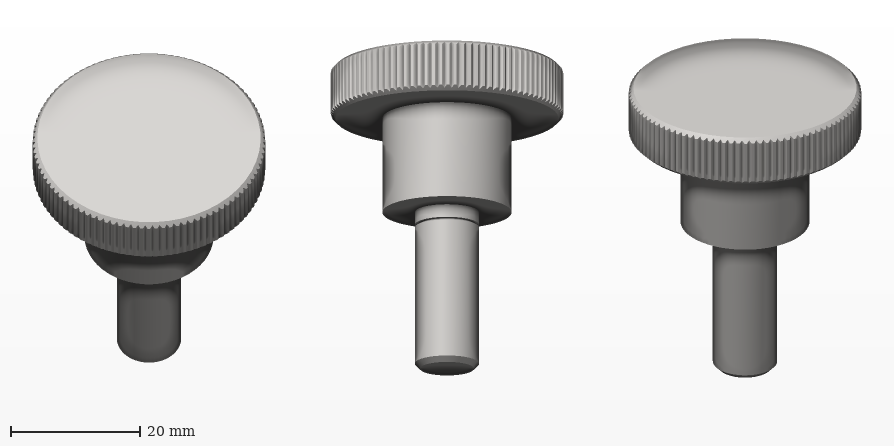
import cadquery as cq
import math

total_height = 48.0
knob_diameter = 36.0
knob_height = 7.95
knob_chamfer = 0.7

hub_diameter = 20.0
hub_length = 15.0

shank_diameter = 10.0
collar_length = 2.0
shank_tip_chamfer = 0.8

relief_depth = 0.7
relief_height = 0.45

groove_count = 100
groove_width = 0.7
groove_depth = 0.4

knob_radius = knob_diameter / 2
hub_radius = hub_diameter / 2
shank_radius = shank_diameter / 2
knob_bottom = total_height - knob_height
hub_bottom = knob_bottom - hub_length
collar_bottom = hub_bottom - collar_length


def turned_body():
    """Knob, hub and shank as one revolved profile: each point is (radius, height)."""
    return (
        cq.Workplane("XZ")
        .moveTo(0, 0)
        .lineTo(shank_radius - shank_tip_chamfer, 0)
        .lineTo(shank_radius, shank_tip_chamfer)
        .lineTo(shank_radius, collar_bottom - relief_height)
        .lineTo(shank_radius - relief_depth, collar_bottom)
        .lineTo(shank_radius, collar_bottom)
        .lineTo(shank_radius, hub_bottom)
        .lineTo(hub_radius, hub_bottom)
        .lineTo(hub_radius, knob_bottom)
        .lineTo(knob_radius - knob_chamfer, knob_bottom)
        .lineTo(knob_radius, knob_bottom + knob_chamfer)
        .lineTo(knob_radius, total_height - knob_chamfer)
        .lineTo(knob_radius - knob_chamfer, total_height)
        .lineTo(0, total_height)
        .close()
        .revolve(360, (0, 0, 0), (0, 1, 0))
    )


def point_on_circle(radius, angle):
    return (radius * math.cos(angle), radius * math.sin(angle))


def knurled_blank():
    """Prism over the knob height whose outline has flat-topped teeth between V grooves."""
    pitch_angle = 2 * math.pi / groove_count
    half_groove_angle = math.asin(groove_width / knob_diameter)
    first_edge = point_on_circle(knob_radius, half_groove_angle)
    outline = cq.Workplane("XY").workplane(offset=knob_bottom).moveTo(*first_edge)
    for index in range(groove_count):
        tooth_middle = (index + 0.5) * pitch_angle
        next_groove = (index + 1) * pitch_angle
        outline = (
            outline.threePointArc(
                point_on_circle(knob_radius, tooth_middle),
                point_on_circle(knob_radius, next_groove - half_groove_angle),
            )
            .lineTo(*point_on_circle(knob_radius - groove_depth, next_groove))
        )
        if index < groove_count - 1:
            outline = outline.lineTo(*point_on_circle(knob_radius, next_groove + half_groove_angle))
    return outline.close().extrude(knob_height)


def knurl_cutter():
    """Ring around the knob that fills the V grooves from outside."""
    outer_disc = cq.Workplane("XY").workplane(offset=knob_bottom).circle(knob_diameter).extrude(knob_height)
    return outer_disc.cut(knurled_blank())


result = turned_body().cut(knurl_cutter())